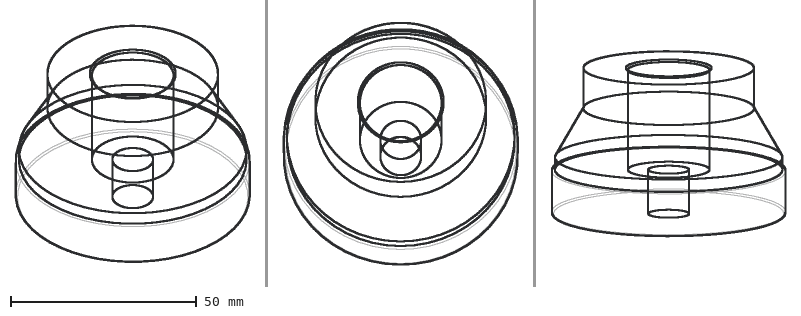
import cadquery as cq
import math

base_diameter = 63.0
rim_top = 12.2
edge_radius = 0.5
through_hole_diameter = 11.0

overall_height = 40.0
skirt_diameter = 61.3
skirt_top = 15.5
neck_diameter = 46.0
neck_height = 11.1
bore_diameter = 22.0
bore_chamfer = 0.55

bead_center_height = rim_top - edge_radius
rim_width = (base_diameter - skirt_diameter) / 2
seat_height = bead_center_height + math.sqrt(edge_radius**2 - (rim_width - edge_radius) ** 2)
neck_bottom = overall_height - neck_height


def revolve_about_z(profile):
    """Turn a closed (radius, height) profile into a solid about the Z axis."""
    return profile.close().revolve(360, (0, 0, 0), (0, 1, 0))


def make_base():
    """Disc with a central hole, a rounded bottom edge and a rounded raised rim."""
    outer_radius = base_diameter / 2
    skirt_radius = skirt_diameter / 2
    hole_radius = through_hole_diameter / 2
    profile = (
        cq.Workplane("XZ")
        .moveTo(hole_radius, 0)
        .lineTo(outer_radius - edge_radius, 0)
        .radiusArc((outer_radius, edge_radius), -edge_radius)
        .lineTo(outer_radius, bead_center_height)
        .threePointArc((outer_radius - edge_radius, rim_top), (skirt_radius, seat_height))
        .lineTo(hole_radius, seat_height)
    )
    return revolve_about_z(profile)


def make_tapered_body():
    """Turned body: short skirt, cone and neck, bored down to the base disc."""
    skirt_radius = skirt_diameter / 2
    neck_radius = neck_diameter / 2
    bore_radius = bore_diameter / 2
    profile = cq.Workplane("XZ").polyline([
        (bore_radius, seat_height),
        (skirt_radius, seat_height),
        (skirt_radius, skirt_top),
        (neck_radius, neck_bottom),
        (neck_radius, overall_height),
        (bore_radius + bore_chamfer, overall_height),
        (bore_radius, overall_height - bore_chamfer),
    ])
    return revolve_about_z(profile)


base = make_base()
tapered_body = make_tapered_body()

result = cq.Compound.makeCompound([base.val(), tapered_body.val()])